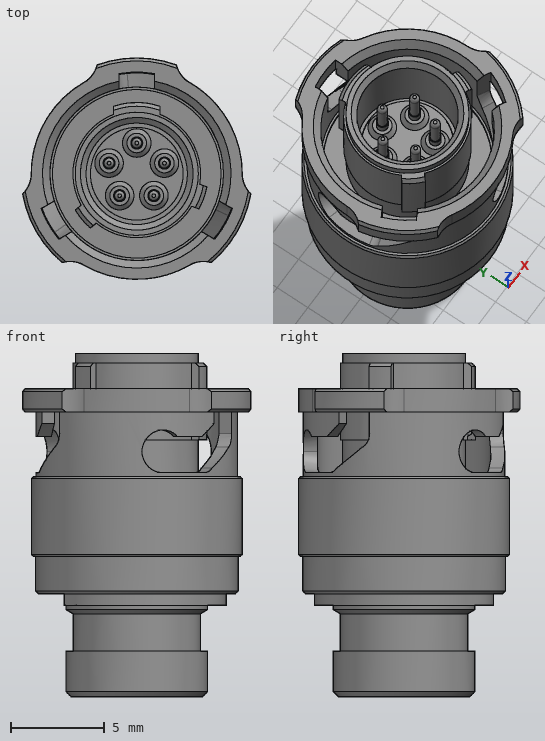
import cadquery as cq
import math

base_radius, base_top, base_chamfer = 3.775, 2.44, 0.28
neck_radius, neck_top = 3.4, 4.42
collar_radius, collar_edge, collar_top = 3.775, 4.65, 4.88
skirt_radius, skirt_bottom, skirt_chamfer = 5.41, 5.49, 0.16
grip_radius, grip_bottom, grip_top, grip_chamfer = 5.625, 7.48, 11.73, 0.11
sleeve_radius = 5.375
sleeve_bore_radius = 4.62
sleeve_bore_chamfer = 0.4
sleeve_floor = 11.7
floor_ledge_radius, floor_ledge_top = 4.49, 11.85

flange_radius, flange_bottom, flange_top = 5.625, 15.17, 16.42
lobe_radius = 6.175
lobe_half_angle = 20
lobe_root_half_angle = 30
lobe_chamfer = 0.16
lobe_directions = (90, 210, 330)

notch_width = 1.88
notch_radius = 5.42
slot_bottom = 11.95
slot_ceiling = 13.86
entry_mouth_height = 14.55
ceiling_ramp_angle = 20
ramp_bend_top = 14.02
ramp_bend_middle = (-8.8, 13.62)
ramp_top = (-5.5, 13.3)
ramp_bottom = (12.0, 12.18)
floor_bend_middle = (14.5, 12.01)
floor_start = (18.0, slot_bottom)
latch_angle = 45
latch_radius = 1.13
slot_inner_plane, slot_outer_plane = 3.6, 6.0
latch_center_height = slot_bottom + latch_radius

spigot_height = 18.3
tip_radius, tip_bottom = 3.28, 17.79
spigot_radius, spigot_bottom = 3.4, 13.69
spigot_bore_radius = 2.7
spigot_bore_chamfer = 0.3
key_radius = 3.8
key_chamfer = 0.2
keys = ((90, 2.45), (220, 1.25), (340, 1.25))

insulator_top = 14.0
insulator_edge_radius, insulator_edge_drop = 2.47, 0.2
pin_count = 5
pin_circle_radius, pin_circle_offset = 1.55, 0.09
pin_radius, pin_top = 0.27, 16.8
pin_tip_radius = 0.1
pin_shank_radius, pin_shank_height = 0.32, 0.5
pin_boss_radius, pin_boss_top_radius, pin_boss_height = 0.76, 0.52, 0.3

clip_radius, clip_hub_radius = 4.78, 3.87
clip_start, clip_end = 216, 489
clip_fillet = 0.2


def cylinder(radius, bottom, top):
    return cq.Workplane("XY").workplane(offset=bottom).circle(radius).extrude(top - bottom)


def polar(radius, angle):
    return radius * math.cos(math.radians(angle)), radius * math.sin(math.radians(angle))


def ring_sector(inner, outer, start, end, bottom, top):
    middle = (start + end) / 2
    return (
        cq.Workplane("XY").workplane(offset=bottom)
        .moveTo(*polar(inner, start))
        .lineTo(*polar(outer, start))
        .threePointArc(polar(outer, middle), polar(outer, end))
        .lineTo(*polar(inner, end))
        .threePointArc(polar(inner, middle), polar(inner, start))
        .close()
        .extrude(top - bottom)
    )


def turned(shape, angle):
    return shape.rotate((0, 0, 0), (0, 0, 1), angle)


def shell():
    """Revolved body: base, neck, collar, skirt, grip band and hollow sleeve."""
    profile = [
        (0, 0),
        (base_radius - base_chamfer, 0),
        (base_radius, base_chamfer),
        (base_radius, base_top),
        (neck_radius, base_top),
        (neck_radius, neck_top),
        (collar_radius, collar_edge),
        (collar_radius, skirt_bottom),
        (skirt_radius - skirt_chamfer, skirt_bottom),
        (skirt_radius, skirt_bottom + skirt_chamfer),
        (skirt_radius, grip_bottom),
        (grip_radius - grip_chamfer, grip_bottom),
        (grip_radius, grip_bottom + grip_chamfer),
        (grip_radius, grip_top - grip_chamfer),
        (grip_radius - grip_chamfer, grip_top),
        (sleeve_radius, grip_top),
        (sleeve_radius, flange_bottom),
        (flange_radius, flange_bottom),
        (flange_radius, flange_top),
        (sleeve_bore_radius + sleeve_bore_chamfer, flange_top),
        (sleeve_bore_radius, flange_top - sleeve_bore_chamfer),
        (sleeve_bore_radius, floor_ledge_top),
        (floor_ledge_radius, floor_ledge_top),
        (floor_ledge_radius, sleeve_floor),
        (0, sleeve_floor),
    ]
    return cq.Workplane("XZ").polyline(profile).close().revolve(360, (0, 0), (0, 1))


def lobe():
    """Flange lobe pointing along +X, blended into the flange by two concave arcs."""
    inner = sleeve_bore_radius + sleeve_bore_chamfer
    block = ring_sector(
        inner, lobe_radius, -lobe_root_half_angle, lobe_root_half_angle, flange_bottom, flange_top
    )
    limit = cylinder(lobe_radius, flange_bottom, flange_top).edges().chamfer(lobe_chamfer)
    block = block.intersect(limit)
    reach = lobe_radius * math.cos(math.radians(lobe_root_half_angle - lobe_half_angle))
    blend = (flange_radius**2 + lobe_radius**2 - 2 * flange_radius * reach) / (2 * (reach - flange_radius))
    for angle in (-lobe_root_half_angle, lobe_root_half_angle):
        cutter = cylinder(blend, flange_bottom, flange_top)
        block = block.cut(cutter.translate((*polar(flange_radius + blend, angle), 0)))
    return block


def bayonet_slot():
    """Slot cutter whose entry is centred on +X and whose latch end lies clockwise of it.

    The outline is drawn on two planes facing the middle of the slot and lofted between
    them. Entry and latch have parallel walls along their own directions; the walls of
    the ramp between them are radial.
    """
    facing_angle = latch_angle / 2

    def outline(distance):
        def at(angle, height, side_offset=0.0):
            turn = math.radians(facing_angle - angle)
            return distance * math.tan(turn) + side_offset / math.cos(turn), height

        def latch_at(turn):
            swing = latch_radius * math.cos(math.radians(turn))
            rise = latch_radius * math.sin(math.radians(turn))
            return at(latch_angle, latch_center_height + rise, -swing)

        lip_turn = 180 - math.degrees(math.asin((slot_ceiling - latch_center_height) / latch_radius))
        half_width = notch_width / 2
        return (
            cq.Workplane("YZ", origin=(distance, 0, 0))
            .moveTo(*at(0, flange_bottom, half_width))
            .lineTo(*at(0, ramp_bend_top, half_width))
            .threePointArc(at(*ramp_bend_middle), at(*ramp_top))
            .lineTo(*at(*ramp_bottom))
            .threePointArc(at(*floor_bend_middle), at(*floor_start))
            .lineTo(*latch_at(-90))
            .threePointArc(latch_at(-45), latch_at(0))
            .threePointArc(latch_at(lip_turn / 2), latch_at(lip_turn))
            .lineTo(*at(ceiling_ramp_angle, slot_ceiling))
            .lineTo(*at(0, entry_mouth_height, -half_width))
            .lineTo(*at(0, flange_bottom, -half_width))
            .close()
            .val()
        )

    cutter = cq.Solid.makeLoft([outline(slot_inner_plane), outline(slot_outer_plane)], True)
    wall = cylinder(flange_radius, slot_bottom, flange_bottom)
    wall = wall.cut(cylinder(spigot_radius, slot_bottom, flange_bottom))
    return turned(cq.Workplane(cutter), -facing_angle).intersect(wall)


def entry_notch():
    """Straight keyway through the flange, leading into the slot on +X."""
    box = cq.Workplane("XY").box(
        notch_radius, notch_width, flange_top - flange_bottom, centered=(False, True, False)
    )
    notch = box.translate((0, 0, flange_bottom)).intersect(cylinder(notch_radius, flange_bottom, flange_top))
    return notch.cut(cylinder(key_radius, flange_bottom, flange_top))


def spigot():
    """Solid spigot with its keys and stepped outside."""
    body = cylinder(tip_radius, sleeve_floor, spigot_height)
    body = body.union(cylinder(spigot_radius, spigot_bottom, tip_bottom))
    key_limit = cylinder(key_radius, spigot_bottom, tip_bottom).faces(">Z").edges().chamfer(key_chamfer)
    for direction, width in keys:
        key = cq.Workplane("XY").box(
            2 * key_radius, width, tip_bottom - spigot_bottom, centered=(False, True, False)
        )
        key = key.translate((0, 0, spigot_bottom)).intersect(key_limit)
        body = body.union(turned(key, direction))
    return body


def spigot_bore():
    profile = [
        (0, insulator_top),
        (insulator_edge_radius, insulator_top),
        (insulator_edge_radius, insulator_top - insulator_edge_drop),
        (spigot_bore_radius, insulator_top - insulator_edge_drop),
        (spigot_bore_radius, spigot_height - spigot_bore_chamfer),
        (spigot_bore_radius + spigot_bore_chamfer, spigot_height),
        (0, spigot_height),
    ]
    return cq.Workplane("XZ").polyline(profile).close().revolve(360, (0, 0), (0, 1))


def pin():
    """Round-nosed contact with a flat tip and thicker shank, standing on a tapered boss."""
    boss_top = insulator_top + pin_boss_height
    shank_top = boss_top + pin_shank_height
    nose_height = math.sqrt(pin_radius**2 - pin_tip_radius**2)
    profile = (
        cq.Workplane("XZ")
        .moveTo(0, insulator_top)
        .lineTo(pin_boss_radius, insulator_top)
        .lineTo(pin_boss_top_radius, boss_top)
        .lineTo(pin_shank_radius, boss_top)
        .lineTo(pin_shank_radius, shank_top)
        .lineTo(pin_radius, shank_top)
        .lineTo(pin_radius, pin_top - nose_height)
        .radiusArc((pin_tip_radius, pin_top), -pin_radius)
        .lineTo(0, pin_top)
        .close()
    )
    return profile.revolve(360, (0, 0), (0, 1))


def clip():
    """Open ring around a round hub, with filleted corners where its ends meet the hub."""
    ring = ring_sector(collar_radius, clip_radius, clip_start, clip_end, collar_top, skirt_bottom)
    hub = cylinder(clip_hub_radius, collar_top, skirt_bottom)
    middle_radius = (clip_hub_radius + clip_radius) / 2
    corners = ring.union(hub).edges("|Z").filter(
        lambda edge: math.hypot(edge.Center().x, edge.Center().y) < middle_radius
    )
    return corners.fillet(clip_fillet)


result = shell().union(spigot())
for direction in lobe_directions:
    result = result.union(turned(lobe(), direction))
for direction in lobe_directions:
    result = result.cut(turned(entry_notch(), direction))
    result = result.cut(turned(bayonet_slot(), direction))
result = result.cut(spigot_bore())
for index in range(pin_count):
    x, y = polar(pin_circle_radius, 90 + index * 360 / pin_count)
    result = result.union(pin().translate((x, y + pin_circle_offset, 0)))
result = result.union(clip())